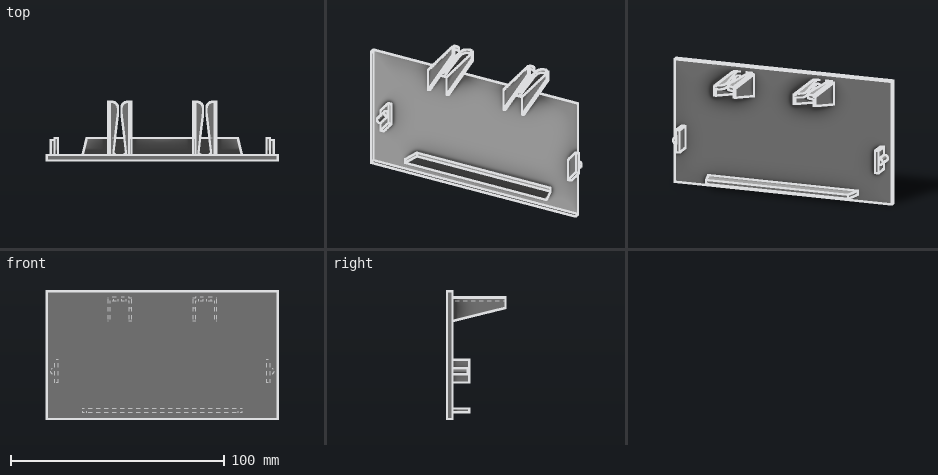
import cadquery as cq

plate_width = 108.5
plate_height = 60.0
plate_thickness = 2.7

prong_length = 25.0
pair_offset = 20.0
pair_half_width = 5.4
prong_wall = 1.0
tip_half_gap = 0.8
root_half_gap = 2.9
tip_radius = 3.0
tip_straight_end = 19.4
root_fillet = 1.3
prong_top = 27.3
wall_step = 0.7
pad_thickness = 2.0
tip_bottom = 22.1
root_bottom = 16.0

tab_outer_x = 50.6
tab_thickness = 1.7
tab_height = 10.8
tab_center_z = -7.5
tab_length = 7.9
bead_diameter = 3.0
bead_outer_x = 52.4
bead_length = 7.0

rib_root_half_width = 37.4
rib_tip_half_width = 35.5
rib_length = tab_length
rib_thickness = 2.0
rib_bottom = -26.9

back = plate_thickness
prong_end = back + prong_length


def mirrored_in_x(body):
    """Return the body together with its mirror image across the YZ plane."""
    return body.union(body.mirror("YZ"))


def extrude_in_z(outline, bottom, height):
    """Extrude a closed XY outline upwards from the given Z level."""
    return outline.extrude(height).translate((0, 0, bottom))


def make_plate():
    return cq.Workplane("XY").box(
        plate_width, plate_thickness, plate_height, centered=(True, False, True)
    )


def make_prong():
    """Make the prong on the +X side of a pair centred on x = 0."""
    wall_inner_x = pair_half_width - prong_wall
    wall_top = prong_top - wall_step

    wall = (
        cq.Workplane("YZ", origin=(wall_inner_x, 0, 0))
        .polyline([
            (back, root_bottom),
            (prong_end, tip_bottom),
            (prong_end, wall_top),
            (back, wall_top),
        ])
        .close()
        .extrude(prong_wall)
    )

    pad_outline = (
        cq.Workplane("XY")
        .moveTo(wall_inner_x, back)
        .lineTo(wall_inner_x, prong_end)
        .lineTo(tip_half_gap + tip_radius, prong_end)
        .radiusArc((tip_half_gap, prong_end - tip_radius), -tip_radius)
        .lineTo(tip_half_gap, back + tip_straight_end)
        .lineTo(root_half_gap, back + root_fillet)
        .radiusArc((root_half_gap - root_fillet, back), root_fillet)
        .close()
    )
    pad = extrude_in_z(pad_outline, prong_top - pad_thickness, pad_thickness)
    return wall.union(pad)


def make_prong_pairs():
    pair = mirrored_in_x(make_prong())
    return mirrored_in_x(pair.translate((pair_offset, 0, 0)))


def make_side_tabs():
    tab = cq.Workplane("XY").box(
        tab_thickness, tab_length, tab_height, centered=(False, False, True)
    ).translate((tab_outer_x - tab_thickness, back, tab_center_z))
    bead = (
        cq.Workplane("XZ", origin=(bead_outer_x - bead_diameter / 2, back, tab_center_z))
        .circle(bead_diameter / 2)
        .extrude(-bead_length)
    )
    return mirrored_in_x(tab.union(bead))


def make_rib():
    outline = (
        cq.Workplane("XY")
        .polyline([
            (-rib_root_half_width, back),
            (rib_root_half_width, back),
            (rib_tip_half_width, back + rib_length),
            (-rib_tip_half_width, back + rib_length),
        ])
        .close()
    )
    return extrude_in_z(outline, rib_bottom, rib_thickness)


result = make_plate().union(make_prong_pairs()).union(make_side_tabs()).union(make_rib())